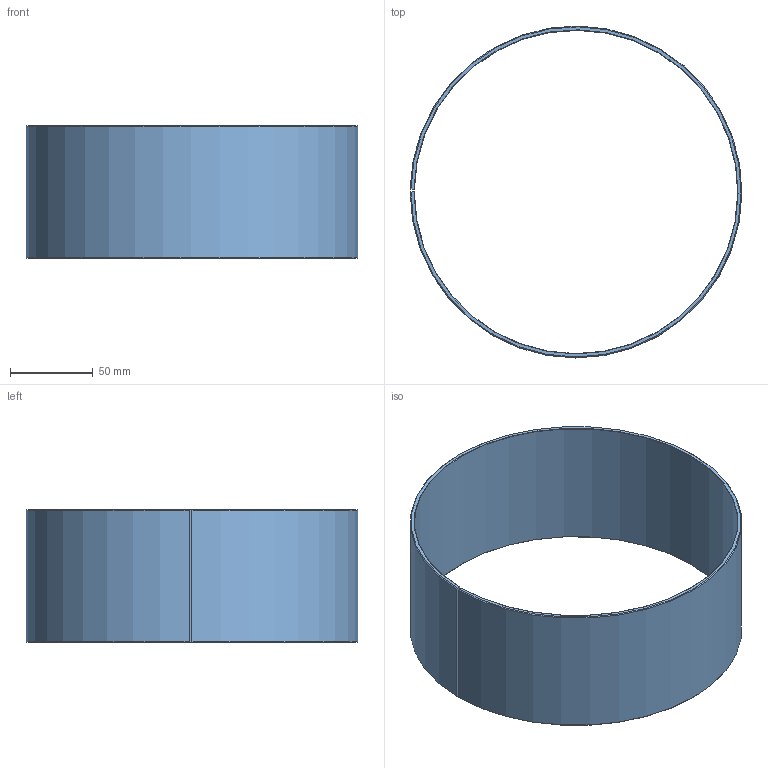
import cadquery as cq

outer_radius = 100.0
wall = 2.5
height = 80.0
outer_chamfer = 0.5
inner_chamfer = 0.2
split_angle = 1.0

inner_radius = outer_radius - wall
rim_outer_radius = outer_radius - outer_chamfer
rim_inner_radius = inner_radius + inner_chamfer


def make_wall_profile():
    """Wall section in the XZ plane on the -X side, with all four corners chamfered."""
    return (
        cq.Workplane("XZ")
        .moveTo(-rim_inner_radius, 0)
        .lineTo(-rim_outer_radius, 0)
        .lineTo(-outer_radius, outer_chamfer)
        .lineTo(-outer_radius, height - outer_chamfer)
        .lineTo(-rim_outer_radius, height)
        .lineTo(-rim_inner_radius, height)
        .lineTo(-inner_radius, height - inner_chamfer)
        .lineTo(-inner_radius, inner_chamfer)
        .close()
    )


def make_split_ring():
    """Sweep the wall section counterclockwise about Z, stopping short of a full turn."""
    axis_start = (0, 0)
    axis_end = (0, 1)
    return make_wall_profile().revolve(360 - split_angle, axis_start, axis_end)


result = make_split_ring()